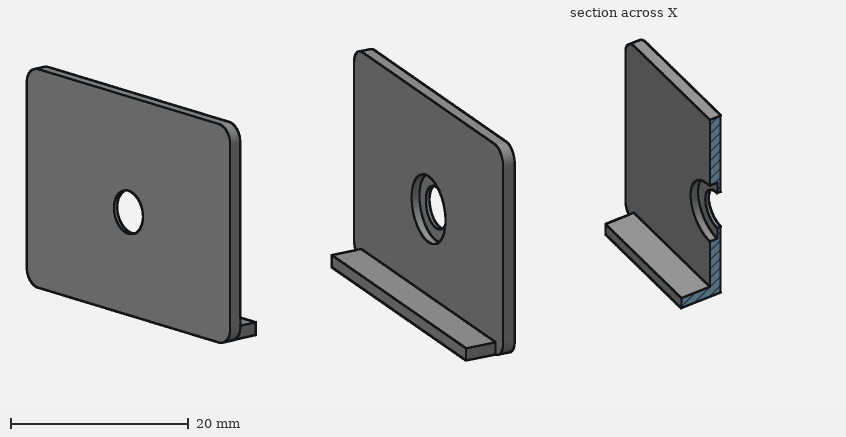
import cadquery as cq

plate_width = 35.3
plate_height = 25.5
plate_thickness = 1.5
corner_radius = 2.0

ledge_width = 31.8
ledge_thickness = 1.5
total_depth = 5.3

hole_diameter = 5.0
lip_thickness = 0.5
counterbore_diameter = 8.0
hole_z = -ledge_thickness / 2


def make_plate():
    """Rounded rectangular plate centred on X and Z."""
    plate = cq.Workplane("XY").box(
        plate_width, plate_thickness, plate_height, centered=(True, False, True)
    )
    return plate.edges("|Y").fillet(corner_radius)


def make_ledge():
    """Bar flush with the plate's bottom edge, running from its back face to the full depth."""
    ledge = cq.Workplane("XY").box(
        ledge_width, total_depth - plate_thickness, ledge_thickness, centered=(True, False, False)
    )
    return ledge.translate((0, plate_thickness, -plate_height / 2))


def make_disc(diameter, start_y, end_y):
    """Cylinder on the hole's axis between two depths."""
    disc = cq.Workplane("XZ").circle(diameter / 2).extrude(start_y - end_y)
    return disc.translate((0, start_y, hole_z))


def make_stepped_hole():
    """Cutter for the through hole and its counterbore."""
    through_hole = make_disc(hole_diameter, 0, plate_thickness)
    counterbore = make_disc(counterbore_diameter, lip_thickness, plate_thickness)
    return through_hole.union(counterbore)


result = make_plate().union(make_ledge()).cut(make_stepped_hole())